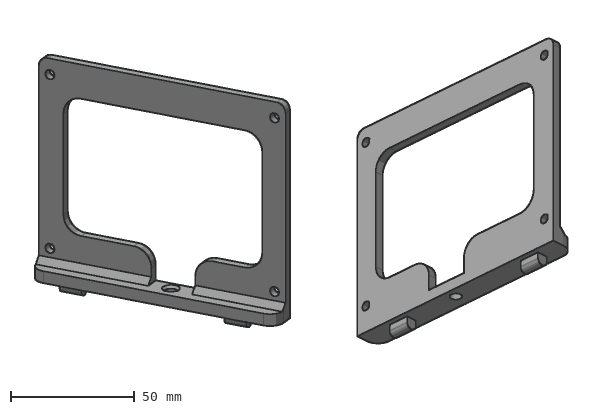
import cadquery as cq

width = 112.0
base_depth = 12.0
pin_length = 5.0
total_height = 100.1
plate_height = total_height - pin_length
plate_thickness = 4.0
plate_corner_radius = 4.0

base_height = 5.3
base_corner_radius = 6.0

slope_depth = 2.8
slope_height = 2.9

window_left = -44.8
window_right = 45.4
window_bottom = 20.2
window_top = 80.1
window_radius = 8.0
gap_width = 19.9
gap_center_x = 5.0

mount_diameter = 4.0
mount_spacing_x = 101.9
mount_bottom_z = 12.1
mount_top_z = 88.0

screw_x = 4.5
screw_y = -4.9
screw_diameter = 5.0
countersink_diameter = 7.3
countersink_depth = (countersink_diameter - screw_diameter) / 2

pin_thickness = 5.0
pin_width = 10.0
pin_left_edges = (-44.8, 30.0)
pin_y = -5.0


def box(x_min, x_max, y_min, y_max, z_min, z_max):
    """Box between the given limits."""
    size = (x_max - x_min, y_max - y_min, z_max - z_min)
    return cq.Workplane("XY").box(*size, centered=False).translate((x_min, y_min, z_min))


def make_plate():
    """Upright plate with rounded top corners."""
    plate = box(-width / 2, width / 2, -plate_thickness, 0, 0, plate_height)
    return plate.edges("|Y and >Z").fillet(plate_corner_radius)


def rounded_block(height):
    """Block on the rail's footprint, with rounded front corners."""
    block = box(-width / 2, width / 2, -base_depth, 0, 0, height)
    return block.edges("|Z and <Y").fillet(base_corner_radius)


def make_slope():
    """Triangular strip in the corner between plate and rail, kept within the rail's footprint."""
    strip = (
        cq.Workplane("YZ", origin=(-width / 2, 0, 0))
        .moveTo(-plate_thickness, base_height)
        .lineTo(-plate_thickness - slope_depth, base_height)
        .lineTo(-plate_thickness, base_height + slope_height)
        .close()
        .extrude(width)
    )
    return strip.intersect(rounded_block(base_height + slope_height))


def make_opening():
    """Window joined to the gap; all corners above the rail are rounded."""
    gap_left = gap_center_x - gap_width / 2
    gap_right = gap_center_x + gap_width / 2
    window = box(window_left, window_right, -base_depth, 0, window_bottom, window_top)
    gap = box(gap_left, gap_right, -base_depth, 0, base_height, window_top)
    opening = window.union(gap)
    return opening.edges("|Y").edges("not <Z").fillet(window_radius)


def make_mount_holes():
    """Four holes through the plate."""
    centers = [
        (side * mount_spacing_x / 2, z)
        for side in (-1, 1)
        for z in (mount_bottom_z, mount_top_z)
    ]
    return (
        cq.Workplane("XZ").pushPoints(centers).circle(mount_diameter / 2).extrude(plate_thickness)
    )


def make_screw_hole():
    """Countersunk through hole, wide end at the top of the rail."""
    hole = cq.Workplane("XY").circle(screw_diameter / 2).extrude(base_height)
    countersink = (
        cq.Workplane("XY", origin=(0, 0, base_height - countersink_depth))
        .circle(screw_diameter / 2)
        .workplane(offset=countersink_depth)
        .circle(countersink_diameter / 2)
        .loft()
    )
    return hole.union(countersink).translate((screw_x, screw_y, 0))


def make_pin(left_edge):
    """Pin with straight sides and a half-round lower end."""
    radius = pin_thickness / 2
    nose_start = radius - pin_length
    return (
        cq.Workplane("YZ", origin=(left_edge, 0, 0))
        .moveTo(pin_y - radius, 0)
        .lineTo(pin_y - radius, nose_start)
        .threePointArc((pin_y, -pin_length), (pin_y + radius, nose_start))
        .lineTo(pin_y + radius, 0)
        .close()
        .extrude(pin_width)
    )


result = make_plate().union(rounded_block(base_height)).union(make_slope())
result = result.cut(make_opening()).cut(make_mount_holes()).cut(make_screw_hole())
for left_edge in pin_left_edges:
    result = result.union(make_pin(left_edge))